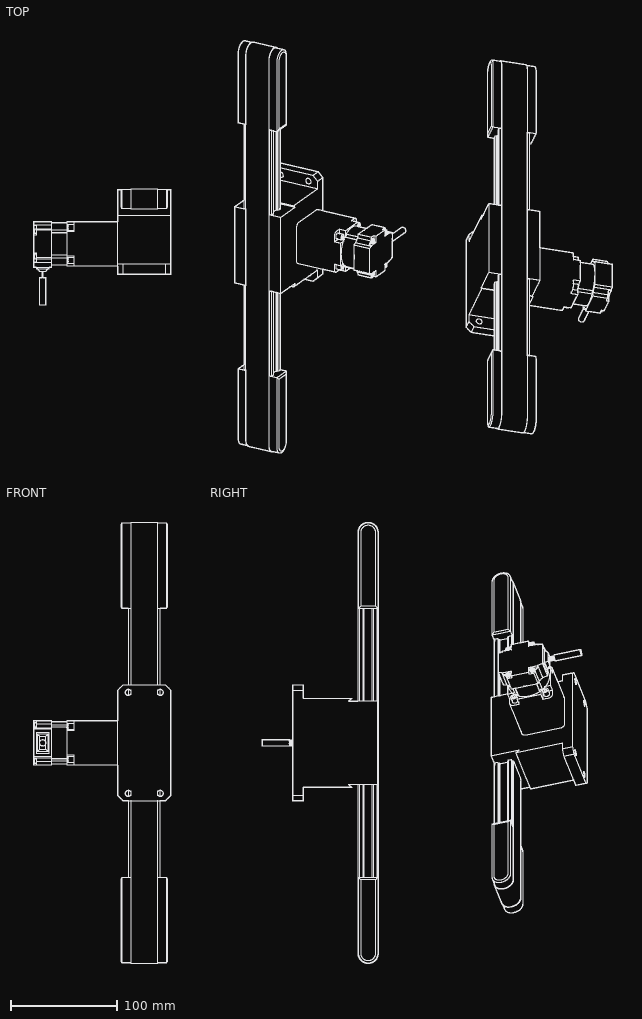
import cadquery as cq
import math


belt_back = 51.8
belt_thick = 19.2
belt_width = 25.0
belt_length = 415.02
belt_mid_y = belt_back - belt_thick / 2

rail_width = 30.0
belt_gap = 1.25
slot_mouth_width = 10.0
slot_mouth_depth = 1.5
slot_width = 7.5
slot_depth = 7.0

cap_width = 44.0
cap_length = 81.0
cap_inset = 0.5
cap_bevel_depth = 1.0
cap_bevel_run = 2.2

carriage_width = 50.0
block_back = belt_back - 0.8
block_height = 78.4
upper_block_height = 83.6
dovetail_root = belt_back - 28.0
dovetail_tip = belt_back - 25.0
plate_height = 109.0
plate_thick = 10.0
plate_front = belt_back - 80.6
plate_back = plate_front + plate_thick
plate_chamfer = 5.0
plate_hole_dia = 5.5
plate_hole_x = 15.0
plate_hole_z = 47.5

motor_end = -104.0
motor_side = 42.0
motor_corner = 4.0
cover_length = 16.9
neck_length = 14.3
neck_dia = 40.0
body_start = motor_end + cover_length + neck_length
body_end = -carriage_width / 2

body_notch_length = 6.8
body_notch_side = 9.4
body_screw_offset = 15.5
body_screw_dia = 5.6
body_screw_length = 5.6
body_socket_dia = 2.6
body_socket_depth = 2.0

cover_round_dia = 45.0
lug_tip_half = 13.0
lug_root_half = 14.2
lug_root_offset = 17.0
front_lug_extra = 1.2

groove_y = 11.9
groove_z = 16.1
groove_dia = 3.24
cover_pocket_depth = 2.5
cover_pocket_inner_y = 8.4
cover_pocket_inner_z = 14.6
cover_screw_y = 11.9
cover_screw_z = 17.1
cover_screw_dia = 4.5
cover_screw_length = 1.5
cover_socket_dia = 2.6

outlet_x = motor_end + cover_length / 2
pad_width = 12.0
pad_height = 20.0
pad_thick = 1.2
relief_base_width = 10.0
relief_base_height = 16.5
relief_tip_width = 5.6
relief_tip_height = 12.0
relief_length = 2.8
wire_dia = 1.0
wire_pitch = 1.2
wire_count = 5
cable_dia = 6.0
cable_start = -31.8
cable_end = belt_back - 109.3

embed = 0.5


def box(x_min, x_max, y_min, y_max, z_min, z_max):
    return (
        cq.Workplane("XY")
        .box(x_max - x_min, y_max - y_min, z_max - z_min, centered=False)
        .translate((x_min, y_min, z_min))
    )


def rod_x(dia, x_start, x_end, y, z):
    return cq.Workplane("YZ", origin=(x_start, y, z)).circle(dia / 2).extrude(x_end - x_start)


def rod_y(dia, y_front, y_rear, x, z):
    return cq.Workplane("XZ", origin=(x, y_rear, z)).circle(dia / 2).extrude(y_rear - y_front)


def four_corners(y, z):
    return [(sy * y, sz * z) for sy in (-1, 1) for sz in (-1, 1)]


def make_belt():
    half = belt_width / 2
    return (
        cq.Workplane("YZ", origin=(-half, belt_mid_y, 0))
        .slot2D(belt_length, belt_thick, 90)
        .extrude(belt_width)
    )


def slotted_side(width, depth, height):
    """Pair of straight grooves, one in each side of the rail."""
    outer = rail_width / 2
    y_min = belt_mid_y - width / 2
    y_max = belt_mid_y + width / 2
    left = box(-outer, -outer + depth, y_min, y_max, -height / 2, height / 2)
    return left.union(left.mirror("YZ"))


def make_rail():
    height = belt_length - 2 * cap_length + 2 * embed
    depth = belt_thick - 2 * belt_gap
    rail = cq.Workplane("XY").box(rail_width, depth, height).translate((0, belt_mid_y, 0))
    rail = rail.cut(slotted_side(slot_mouth_width, slot_mouth_depth, height))
    return rail.cut(slotted_side(slot_width, slot_depth, height))


def cap_outline(x):
    """Side outline of the upper cap: square at the bottom, fully round at the top."""
    radius = belt_thick / 2 - cap_inset
    top = belt_length / 2 - cap_inset
    bottom = belt_length / 2 - cap_length
    return (
        cq.Workplane("YZ", origin=(x, belt_mid_y, 0))
        .moveTo(-radius, bottom)
        .lineTo(radius, bottom)
        .lineTo(radius, top - radius)
        .threePointArc((0, top), (-radius, top - radius))
        .close()
    )


def make_caps():
    straight = cap_width / 2 - cap_bevel_depth
    taper = math.degrees(math.atan2(cap_bevel_run, cap_bevel_depth))
    half = cap_outline(0).extrude(straight)
    half = half.union(cap_outline(straight).extrude(cap_bevel_depth, taper=taper))
    upper = half.union(half.mirror("YZ"))
    return upper.union(upper.mirror("XY"))


def make_carriage():
    half = carriage_width / 2
    low = block_height / 2
    high = upper_block_height / 2
    upper_outline = [
        (block_back, 0),
        (block_back, low),
        (dovetail_root, low),
        (dovetail_tip, high),
        (plate_back, high),
        (plate_back, 0),
    ]
    upper = cq.Workplane("YZ", origin=(-half, 0, 0)).polyline(upper_outline).close().extrude(carriage_width)
    block = upper.union(upper.mirror("XY"))
    plate = (
        cq.Workplane("XZ", origin=(0, plate_back, 0))
        .rect(carriage_width, plate_height)
        .extrude(plate_thick)
        .edges("|Y")
        .chamfer(plate_chamfer)
    )
    for x, z in four_corners(plate_hole_x, plate_hole_z):
        plate = plate.cut(rod_y(plate_hole_dia, plate_front, plate_back, x, z))
    return block.union(plate)


def make_motor_body():
    side = motor_side / 2
    body = (
        cq.Workplane("YZ", origin=(body_start, 0, 0))
        .rect(motor_side, motor_side)
        .extrude(body_end - body_start)
        .edges("|X")
        .fillet(motor_corner)
    )
    notch_end = body_start + body_notch_length
    notch_mid = side - body_notch_side / 2
    for y, z in four_corners(notch_mid, notch_mid):
        notch = (
            cq.Workplane("YZ", origin=(body_start, y, z))
            .rect(body_notch_side, body_notch_side)
            .extrude(body_notch_length)
        )
        body = body.cut(notch)
    head_start = notch_end - body_screw_length
    for y, z in four_corners(body_screw_offset, body_screw_offset):
        body = body.union(rod_x(body_screw_dia, head_start, notch_end, y, z))
        body = body.cut(rod_x(body_socket_dia, head_start, head_start + body_socket_depth, y, z))
    return body


def make_neck():
    neck_start = motor_end + cover_length
    neck = rod_x(neck_dia, neck_start, body_start, 0, 0)
    for y, z in four_corners(groove_y, groove_z):
        neck = neck.cut(rod_x(groove_dia, neck_start, body_start, y, z))
    return neck


def make_lug(tip_offset):
    """Tapered flat side of the cover, reaching tip_offset from the motor axis toward +Z."""
    outline = [
        (-lug_root_half, 0),
        (-lug_root_half, lug_root_offset),
        (-lug_tip_half, tip_offset),
        (lug_tip_half, tip_offset),
        (lug_root_half, lug_root_offset),
        (lug_root_half, 0),
    ]
    return cq.Workplane("YZ", origin=(motor_end, 0, 0)).polyline(outline).close().extrude(cover_length)


def make_cover():
    side = motor_side / 2
    square = (
        cq.Workplane("YZ", origin=(motor_end, 0, 0)).rect(motor_side, motor_side).extrude(cover_length)
    )
    cover = square.intersect(rod_x(cover_round_dia, motor_end, motor_end + cover_length, 0, 0))
    for quarter_turn in range(4):
        extra = front_lug_extra if quarter_turn == 1 else 0
        cover = cover.union(make_lug(side + extra).rotate((0, 0, 0), (1, 0, 0), 90 * quarter_turn))
    pocket_floor = motor_end + cover_pocket_depth
    upper_pocket = box(motor_end, pocket_floor, cover_pocket_inner_y, side, cover_pocket_inner_z, side)
    pockets = upper_pocket.union(upper_pocket.mirror("XZ"))
    cover = cover.cut(pockets).cut(pockets.mirror("XY"))
    head_start = pocket_floor - cover_screw_length
    for y, z in four_corners(cover_screw_y, cover_screw_z):
        cover = cover.union(rod_x(cover_screw_dia, head_start, pocket_floor, y, z))
        cover = cover.cut(rod_x(cover_socket_dia, head_start, pocket_floor, y, z))
    return cover


def make_cable_outlet():
    lug_front = -motor_side / 2 - front_lug_extra
    pad = (
        cq.Workplane("XZ", origin=(outlet_x, lug_front + embed, 0))
        .rect(pad_width, pad_height)
        .extrude(pad_thick + embed)
    )
    pad_front = lug_front - pad_thick
    relief = (
        cq.Workplane("XZ", origin=(outlet_x, pad_front, 0))
        .rect(relief_base_width, relief_base_height)
        .workplane(offset=relief_length)
        .rect(relief_tip_width, relief_tip_height)
        .loft()
    )
    outlet = pad.union(relief)
    relief_tip = pad_front - relief_length
    for index in range(wire_count):
        z = (index - (wire_count - 1) / 2) * wire_pitch
        outlet = outlet.union(rod_y(wire_dia, cable_start - embed, relief_tip + embed, outlet_x, z))
    return outlet.union(rod_y(cable_dia, cable_end, cable_start, outlet_x, 0))


result = (
    make_belt()
    .union(make_rail())
    .union(make_caps())
    .union(make_carriage())
    .union(make_motor_body())
    .union(make_neck())
    .union(make_cover())
    .union(make_cable_outlet())
)